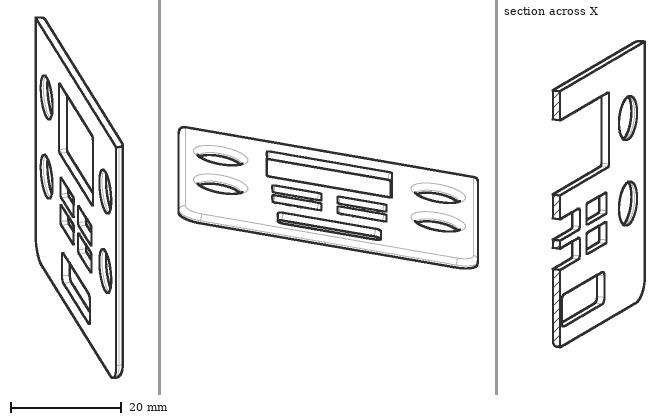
import cadquery as cq

PLATE_WIDTH = 55.0
PLATE_HEIGHT = 48.0
PLATE_THICKNESS = 1.5
BOTTOM_CORNER_RADIUS = 4.0
BACK_EDGE_RADIUS = 1.0

HOLE_DIAMETER = 8.0
HOLE_SPACING_X = 40.0
HOLE_SPACING_Z = 16.0
HOLE_BACK_EDGE_RADIUS = 1.0
TOP_HOLE_DEPTH = 12.5

WINDOW_WIDTH = 23.0
WINDOW_HEIGHT = 14.0
WINDOW_TOP_MARGIN = 5.5
WINDOW_CORNER_RADIUS = 0.5

BUTTON_WIDTH = 9.0
BUTTON_HEIGHT = 4.0
BUTTON_GAP_X = 3.0
BUTTON_GAP_Z = 1.5
BUTTON_TOP_MARGIN = 24.0
BUTTON_CORNER_RADIUS = 0.5

SLOT_WIDTH = 19.0
SLOT_HEIGHT = 6.0
SLOT_BOTTOM_MARGIN = 3.5
SLOT_CORNER_RADIUS = 1.0


def make_plate():
    """Plate with two rounded bottom corners; the back edge is rounded along the sides and bottom."""
    plate = cq.Workplane("XY").box(
        PLATE_WIDTH, PLATE_THICKNESS, PLATE_HEIGHT, centered=(True, False, False)
    )
    plate = plate.edges("|Y and <Z").fillet(BOTTOM_CORNER_RADIUS)
    return plate.faces(">Y").edges("<Z").fillet(BACK_EDGE_RADIUS)


def rectangular_cutter(centers, width, height, corner_radius):
    """Rounded rectangular prisms through the plate, centred on the given (x, z) points."""
    return (
        cq.Workplane("XZ")
        .pushPoints(centers)
        .rect(width, height)
        .extrude(-PLATE_THICKNESS)
        .edges("|Y")
        .fillet(corner_radius)
    )


def grid_points(spacing_x, spacing_z, center_z):
    """Four (x, z) points of a two by two pattern centred on X = 0."""
    return [
        (side * spacing_x / 2, center_z + level * spacing_z / 2)
        for side in (-1, 1)
        for level in (-1, 1)
    ]


def cut_round_holes(plate):
    """Cut the round holes and round their rims on the back face."""
    center_z = PLATE_HEIGHT - TOP_HOLE_DEPTH - HOLE_SPACING_Z / 2
    cutter = (
        cq.Workplane("XZ")
        .pushPoints(grid_points(HOLE_SPACING_X, HOLE_SPACING_Z, center_z))
        .circle(HOLE_DIAMETER / 2)
        .extrude(-PLATE_THICKNESS)
    )
    drilled = plate.cut(cutter)
    hole_rims = [wire.Edges()[0] for wire in drilled.faces(">Y").val().innerWires()]
    return drilled.newObject(hole_rims).fillet(HOLE_BACK_EDGE_RADIUS)


def make_window():
    center_z = PLATE_HEIGHT - WINDOW_TOP_MARGIN - WINDOW_HEIGHT / 2
    return rectangular_cutter([(0, center_z)], WINDOW_WIDTH, WINDOW_HEIGHT, WINDOW_CORNER_RADIUS)


def make_button_openings():
    center_z = PLATE_HEIGHT - BUTTON_TOP_MARGIN - BUTTON_HEIGHT - BUTTON_GAP_Z / 2
    centers = grid_points(BUTTON_WIDTH + BUTTON_GAP_X, BUTTON_HEIGHT + BUTTON_GAP_Z, center_z)
    return rectangular_cutter(centers, BUTTON_WIDTH, BUTTON_HEIGHT, BUTTON_CORNER_RADIUS)


def make_lower_slot():
    center_z = SLOT_BOTTOM_MARGIN + SLOT_HEIGHT / 2
    return rectangular_cutter([(0, center_z)], SLOT_WIDTH, SLOT_HEIGHT, SLOT_CORNER_RADIUS)


result = (
    cut_round_holes(make_plate())
    .cut(make_window())
    .cut(make_button_openings())
    .cut(make_lower_slot())
)